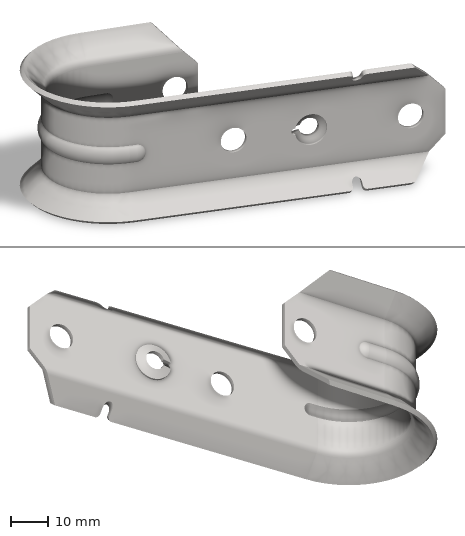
import cadquery as cq
import math

thickness = 1.4
outer_radius = 23.8
web_inner_radius = 16.6
web_outer_radius = web_inner_radius + thickness
half_height = 18.0
flange_bend_radius = 2.7
long_leg_length = 89.3
short_leg_length = 31.7
short_leg_tilt = 2.1
corner_chamfer = 11.3

hole_diameter = 7.2
long_leg_hole_positions = (29.6, 79.6)
short_leg_hole_position = 25.2

bead_width = 5.1
bead_rise = 1.0
long_leg_bead_length = 2.3
short_leg_bead_length = 5.5

notch_position = 63.1
notch_width = 2.8
notch_depth = 3.7
notch_mouth_radius = 1.1

dimple_position = 51.5
dimple_radius = 5.2
dimple_hole_radius = 2.7
dimple_rim_rise = 0.7
dimple_hole_rise = 1.7
dimple_tilt = 5.0
dimple_slot_reach = 5.5
dimple_slot_width = 1.8

cut_length = 22.6


def place_on_short_leg(shape):
    """Move a shape built on the +X side onto the tilted short leg."""
    return shape.mirror("YZ").rotate((0, 0, 0), (0, 0, 1), short_leg_tilt)


def follow_hook(section, long_length, short_length):
    """Carry an XZ section along the long leg, the bend and the short leg."""
    outline = section.val()

    def fresh_section():
        return cq.Workplane("XZ").add(outline).toPending()

    long_leg = fresh_section().extrude(-long_length)
    bend = fresh_section().revolve(180 - short_leg_tilt, (0, 0, 0), (0, -1, 0))
    short_leg = place_on_short_leg(fresh_section().extrude(-short_length))
    return long_leg.union(bend).union(short_leg)


def channel_section():
    """Flat web with a 45 degree flange at each edge."""
    edge_step = thickness * math.sqrt(0.5)
    half_bend = math.radians(22.5)
    outer_corner_z = half_height - edge_step - (outer_radius - web_outer_radius)
    inner_corner_z = outer_corner_z + thickness * math.tan(half_bend)
    tangent = flange_bend_radius * math.tan(half_bend)
    tangent_step = tangent * math.sqrt(0.5)
    arc_start_z = inner_corner_z - tangent
    arc_end = (web_inner_radius + tangent_step, inner_corner_z + tangent_step)
    arc_middle = (
        web_inner_radius + flange_bend_radius * (1 - math.cos(half_bend)),
        arc_start_z + flange_bend_radius * math.sin(half_bend),
    )
    return (
        cq.Workplane("XZ")
        .moveTo(web_inner_radius, -arc_start_z)
        .lineTo(web_inner_radius, arc_start_z)
        .threePointArc(arc_middle, arc_end)
        .lineTo(outer_radius - edge_step, half_height)
        .lineTo(outer_radius, half_height - edge_step)
        .lineTo(web_outer_radius, outer_corner_z)
        .lineTo(web_outer_radius, -outer_corner_z)
        .lineTo(outer_radius, edge_step - half_height)
        .lineTo(outer_radius - edge_step, -half_height)
        .lineTo(arc_end[0], -arc_end[1])
        .threePointArc((arc_middle[0], -arc_middle[1]), (web_inner_radius, -arc_start_z))
        .close()
    )


def bead_solid(path_radius, radius):
    """Round bar along the bend, with a ball at each end."""
    section = cq.Workplane("XZ").moveTo(path_radius, 0).circle(radius)
    bar = follow_hook(section, long_leg_bead_length, short_leg_bead_length)
    ball = cq.Workplane("XY").sphere(radius)
    long_end = ball.translate((path_radius, long_leg_bead_length, 0))
    short_end = place_on_short_leg(ball.translate((path_radius, short_leg_bead_length, 0)))
    return bar.union(long_end).union(short_end)


def add_bead(body):
    """Raise a bead on the outside of the bend, with a matching groove inside."""
    radius = ((bead_width / 2) ** 2 + bead_rise ** 2) / (2 * bead_rise)
    path_radius = web_outer_radius + bead_rise - radius
    inside_section = (
        cq.Workplane("XZ")
        .moveTo(web_inner_radius / 2, 0)
        .rect(web_inner_radius, 2 * half_height)
    )
    inside = follow_hook(inside_section, long_leg_length, short_leg_length)
    raised = bead_solid(path_radius, radius).cut(inside)
    return body.union(raised).cut(bead_solid(path_radius, radius - thickness))


def corner_cuts(leg_length):
    """Wedges that remove both corners at the free end of a leg."""
    upper = (
        cq.Workplane("YZ", origin=(web_inner_radius / 2, 0, 0))
        .moveTo(leg_length - corner_chamfer, half_height)
        .lineTo(leg_length, half_height)
        .lineTo(leg_length, half_height - corner_chamfer)
        .close()
        .extrude(cut_length)
    )
    return upper.union(upper.mirror("XY"))


def leg_holes(positions):
    return (
        cq.Workplane("YZ", origin=(web_inner_radius / 2, 0, 0))
        .pushPoints([(position, 0) for position in positions])
        .circle(hole_diameter / 2)
        .extrude(cut_length)
    )


def add_flange_notches(body):
    """Round-bottomed notches with rounded mouths in both flanges of the long leg."""
    slot_length = 2 * notch_depth
    upper = (
        cq.Workplane("YZ", origin=(web_inner_radius / 2, notch_position, half_height))
        .slot2D(slot_length, notch_width, 90)
        .extrude(cut_length)
    )
    body = body.cut(upper).cut(upper.mirror("XY"))
    edge_center = outer_radius - thickness * math.sqrt(0.5) / 2
    edge_height = half_height - thickness * math.sqrt(0.5) / 2
    mouth_edges = [
        cq.selectors.NearestToPointSelector((edge_center, notch_position + side_y, side_z))
        for side_y in (-notch_width / 2, notch_width / 2)
        for side_z in (-edge_height, edge_height)
    ]
    corners = mouth_edges[0]
    for selector in mouth_edges[1:]:
        corners = corners + selector
    return body.edges(corners).fillet(notch_mouth_radius)


def dimple_cone(base_x):
    """Tilted cone whose slope passes through the dimple rim and the hole edge."""
    slope = (dimple_hole_rise - dimple_rim_rise) / (dimple_radius - dimple_hole_radius)
    apex_rise = dimple_rim_rise + slope * dimple_radius
    cone_base_radius = 2 * dimple_radius
    cone_base_rise = apex_rise - slope * cone_base_radius
    cone = (
        cq.Workplane("XY")
        .moveTo(0, cone_base_rise)
        .lineTo(cone_base_radius, cone_base_rise)
        .lineTo(0, apex_rise)
        .close()
        .revolve(360, (0, 0, 0), (0, 1, 0))
        .rotate((0, 0, 0), (0, 0, 1), 90 - dimple_tilt)
    )
    return cone.translate((base_x, dimple_position, 0))


def dimple_plug(start_x, radius, length):
    return (
        cq.Workplane("YZ", origin=(start_x, dimple_position, 0))
        .circle(radius)
        .extrude(length)
    )


def add_dimple(body):
    """Press a slotted, sloping lip into the web toward the short leg."""
    start_x = web_inner_radius - thickness - dimple_hole_rise
    raised_length = web_inner_radius + thickness / 2 - start_x
    raised = dimple_plug(start_x, dimple_radius, raised_length)
    skirt = dimple_plug(web_inner_radius, dimple_radius, thickness)
    raised = raised.intersect(dimple_cone(web_inner_radius).union(skirt))
    recess_radius = dimple_radius - thickness / 2
    recess = dimple_plug(start_x, recess_radius, cut_length)
    recess = recess.intersect(
        dimple_cone(web_outer_radius).union(dimple_plug(web_outer_radius, recess_radius, cut_length))
    )
    hole = dimple_plug(start_x, dimple_hole_radius, cut_length)
    slot_end_radius = dimple_slot_width / 2
    slot = (
        cq.Workplane("YZ", origin=(start_x, dimple_position, 0))
        .center((slot_end_radius - dimple_slot_reach) / 2, 0)
        .slot2D(dimple_slot_reach + slot_end_radius, dimple_slot_width)
        .extrude(cut_length)
    )
    return body.union(raised).cut(recess).cut(hole).cut(slot)


result = follow_hook(channel_section(), long_leg_length, short_leg_length)
result = add_bead(result)
result = result.cut(corner_cuts(long_leg_length))
result = result.cut(place_on_short_leg(corner_cuts(short_leg_length)))
result = result.cut(leg_holes(long_leg_hole_positions))
result = result.cut(place_on_short_leg(leg_holes((short_leg_hole_position,))))
result = add_flange_notches(result)
result = add_dimple(result)